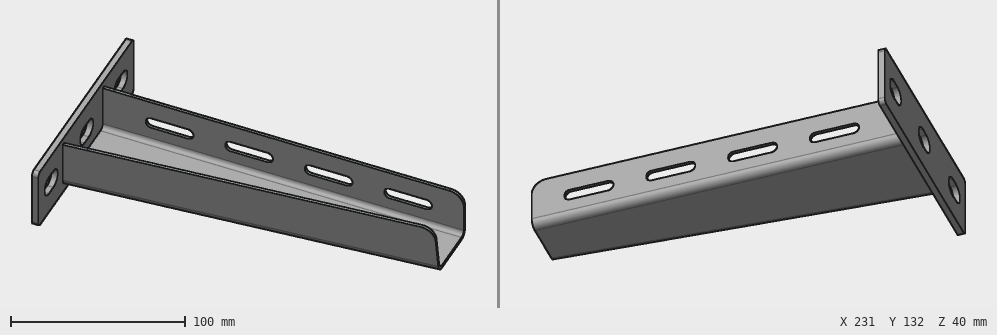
import cadquery as cq
import math

plate_thickness = 4
plate_width = 132
plate_height = 40
plate_corner_radius = 3
wall_slot_length = 18
wall_slot_height = 12
wall_slot_positions = (-48, 1, 48)

arm_end = 231
sheet_thickness = 2
bend_radius = 3
arm_height = 31.5
root_width = 57
tip_width = 37
straight_side_y = 25
flange_corner_radius = 9

slot_count = 4
slot_pitch = 50
slot_length = 30
slot_height = 7
first_slot_x = 46
slot_rise = 16

arm_length = arm_end - plate_thickness
arm_bottom = -arm_height / 2
arm_top = arm_height / 2
slot_z = arm_bottom + slot_rise
outer_radius = bend_radius + sheet_thickness
neutral_radius = bend_radius + sheet_thickness / 2
bend_top = arm_bottom + outer_radius
flange_height = arm_top - bend_top
slope = (root_width - tip_width) / arm_length
slope_angle = math.atan(slope)

bend_setback = slope * neutral_radius * math.pi / 2

along = cq.Vector(math.cos(slope_angle), math.sin(slope_angle), 0)
outward = cq.Vector(math.sin(slope_angle), -math.cos(slope_angle), 0)
up = cq.Vector(0, 0, 1)

bend_inset = outer_radius / math.cos(slope_angle)
web_root_y = straight_side_y - root_width + bend_inset
web_tip_y = straight_side_y - tip_width + bend_inset
web_straight_y = straight_side_y - outer_radius

root_overrun = 10
sloping_length = arm_length / math.cos(slope_angle) + root_overrun


def make_wall_plate():
    plate = (
        cq.Workplane("YZ")
        .rect(plate_width, plate_height)
        .extrude(plate_thickness)
        .edges("|X")
        .fillet(plate_corner_radius)
    )
    slots = (
        cq.Workplane("YZ")
        .pushPoints([(y, 0) for y in wall_slot_positions])
        .slot2D(wall_slot_length, wall_slot_height)
        .extrude(plate_thickness)
    )
    return plate.cut(slots)


def make_web():
    return (
        cq.Workplane("XY", origin=(0, 0, arm_bottom))
        .moveTo(plate_thickness, web_straight_y)
        .lineTo(arm_end, web_straight_y)
        .lineTo(arm_end, web_tip_y)
        .lineTo(plate_thickness, web_root_y)
        .close()
        .extrude(sheet_thickness)
    )


def make_straight_bend():
    tube = (
        cq.Workplane("YZ", origin=(plate_thickness, web_straight_y, bend_top))
        .circle(outer_radius)
        .circle(bend_radius)
        .extrude(arm_length)
    )
    quarter = (
        cq.Workplane("YZ", origin=(plate_thickness, web_straight_y, bend_top))
        .rect(outer_radius, -outer_radius, centered=False)
        .extrude(arm_length)
    )
    return tube.intersect(quarter)


def make_straight_flange():
    flange = (
        cq.Workplane("XY")
        .box(arm_length, sheet_thickness, flange_height, centered=False)
        .translate((plate_thickness, straight_side_y - sheet_thickness, bend_top))
        .edges(">X and >Z")
        .fillet(flange_corner_radius)
    )
    slots = (
        cq.Workplane("XZ", origin=(0, straight_side_y, 0))
        .pushPoints([(first_slot_x + i * slot_pitch, slot_z) for i in range(slot_count)])
        .slot2D(slot_length, slot_height)
        .extrude(sheet_thickness)
    )
    return flange.cut(slots)


def make_sloping_bend():
    end_edges = [
        cq.Wire.makeHelix(4 * bend_setback, bend_setback, radius).Edges()[0]
        for radius in (bend_radius, outer_radius)
    ]
    axis_frame = cq.Plane(
        origin=(arm_end, web_tip_y, bend_top), xDir=up * -1, normal=along * -1
    )
    end_face = cq.Face.makeRuledSurface(*end_edges).moved(cq.Location(axis_frame))
    return cq.Workplane(cq.Solid.extrudeLinear(end_face, along * -sloping_length))


def make_sloping_flange():
    top_setback = bend_setback + slope * flange_height
    inner_corner = cq.Vector(arm_end, web_tip_y, bend_top) + outward * bend_radius
    flange_frame = cq.Plane(origin=inner_corner, xDir=along, normal=outward)
    top_corner = inner_corner - along * top_setback + up * flange_height
    rounded_edge_middle = top_corner + outward * (sheet_thickness / 2)
    return (
        cq.Workplane(flange_frame)
        .moveTo(-sloping_length, 0)
        .lineTo(-bend_setback, 0)
        .lineTo(-top_setback, flange_height)
        .lineTo(-sloping_length, flange_height)
        .close()
        .extrude(sheet_thickness)
        .edges(cq.selectors.NearestToPointSelector(rounded_edge_middle.toTuple()))
        .fillet(flange_corner_radius)
    )


def make_arm():
    behind_plate_front = (
        cq.Workplane("YZ", origin=(plate_thickness, 0, 0))
        .rect(plate_width, plate_height)
        .extrude(-2 * root_overrun)
    )
    sloping_side = make_sloping_bend().union(make_sloping_flange()).cut(behind_plate_front)
    return (
        make_web()
        .union(make_straight_bend())
        .union(make_straight_flange())
        .union(sloping_side)
    )


wall_plate = make_wall_plate()
arm = make_arm()

result = cq.Compound.makeCompound([wall_plate.val(), *arm.solids().vals()])